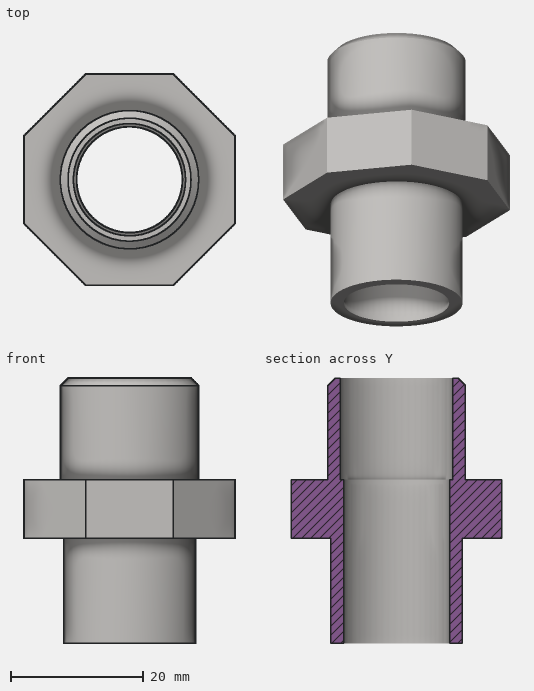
import cadquery as cq

total_height = 40.2
lower_height = 15.9
collar_height = 8.9
upper_height = total_height - lower_height - collar_height

lower_diameter = 20.0
upper_diameter = 20.955
collar_across_flats = 32.0
collar_sides = 8

rim_bevel = 1.162

lower_bore_diameter = 16.0
upper_bore_diameter = 17.0
upper_bore_depth = upper_height

collar_bottom = lower_height
collar_top = collar_bottom + collar_height


def cylinder(diameter, height, bottom):
    """Upright cylinder on the Z axis."""
    return cq.Workplane("XY").workplane(offset=bottom).circle(diameter / 2).extrude(height)


def octagonal_collar():
    """Octagonal wrench collar with flats facing the X and Y axes."""
    return (
        cq.Workplane("XY")
        .workplane(offset=collar_bottom)
        .polygon(collar_sides, collar_across_flats, circumscribed=True)
        .extrude(collar_height)
    )


def upper_spigot():
    """Upper tube with a bevelled outer rim."""
    spigot = cylinder(upper_diameter, upper_height, collar_top)
    return spigot.faces(">Z").edges().chamfer(rim_bevel)


lower_spigot = cylinder(lower_diameter, lower_height, 0)
body = lower_spigot.union(octagonal_collar()).union(upper_spigot())

through_bore = cylinder(lower_bore_diameter, total_height, 0)
upper_bore = cylinder(upper_bore_diameter, upper_bore_depth, total_height - upper_bore_depth)

result = body.cut(through_bore).cut(upper_bore)